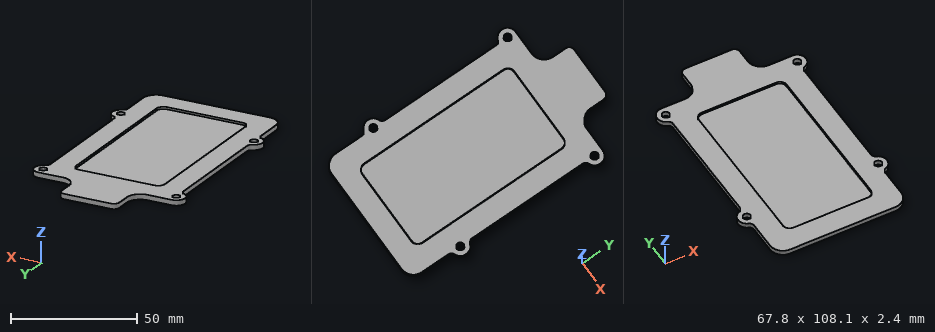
import cadquery as cq

LENGTH = 108.1
THICKNESS = 2.4
BODY_WIDTH = 59.8
BODY_CORNER_RADIUS = 5.9
BOTTOM_Y = -LENGTH / 2
TOP_Y = LENGTH / 2

LUG_RADIUS = 4.0
LUG_FILLET = 2.0
HOLE_DIAMETER = 3.2
HOLE_PITCH_Y = 65.0
UPPER_HOLE_Y = 35.3
LOWER_HOLE_Y = UPPER_HOLE_Y - HOLE_PITCH_Y
HOLE_POINTS = [(side * BODY_WIDTH / 2, y) for side in (-1, 1) for y in (LOWER_HOLE_Y, UPPER_HOLE_Y)]

SHOULDER_Y = UPPER_HOLE_Y + LUG_RADIUS

TAB_WIDTH = 26.0
TAB_CORNER_RADIUS = 2.5
TAB_ROOT_FILLET = 5.9

POCKET_BORDER = 9.9
POCKET_DEPTH = 1.0
POCKET_CORNER_RADIUS = 3.0


def box_between(width, y_low, y_high, z_low, z_high):
    """Box centred on X = 0, spanning the given Y and Z ranges."""
    return (
        cq.Workplane("XY", origin=(0, (y_low + y_high) / 2, z_low))
        .rect(width, y_high - y_low)
        .extrude(z_high - z_low)
    )


def upright_edges(plate, points):
    """Vertical edges of the plate standing at the given XY points."""
    tolerance = 0.01
    edges = plate.newObject([])
    for x, y in points:
        lower = (x - tolerance, y - tolerance, -THICKNESS)
        upper = (x + tolerance, y + tolerance, THICKNESS)
        found = plate.edges("|Z").edges(cq.selectors.BoxSelector(lower, upper))
        edges = edges.add(found)
    return edges


def mirrored(x, y):
    return [(-x, y), (x, y)]


def make_plate():
    z_low, z_high = -THICKNESS / 2, THICKNESS / 2
    body = box_between(BODY_WIDTH, BOTTOM_Y, SHOULDER_Y, z_low, z_high)
    tab = box_between(TAB_WIDTH, UPPER_HOLE_Y, TOP_Y, z_low, z_high)
    lugs = (
        cq.Workplane("XY", origin=(0, 0, z_low))
        .pushPoints(HOLE_POINTS)
        .circle(LUG_RADIUS)
        .extrude(THICKNESS)
    )
    return body.union(tab).union(lugs).clean()


def round_outline(plate):
    half_body = BODY_WIDTH / 2
    half_tab = TAB_WIDTH / 2
    lug_roots = []
    for y in (LOWER_HOLE_Y - LUG_RADIUS, LOWER_HOLE_Y + LUG_RADIUS, UPPER_HOLE_Y - LUG_RADIUS):
        lug_roots += mirrored(half_body, y)
    roundings = [
        (BODY_CORNER_RADIUS, mirrored(half_body, BOTTOM_Y)),
        (TAB_CORNER_RADIUS, mirrored(half_tab, TOP_Y)),
        (TAB_ROOT_FILLET, mirrored(half_tab, SHOULDER_Y)),
        (LUG_FILLET, lug_roots),
    ]
    for radius, points in roundings:
        plate = upright_edges(plate, points).fillet(radius)
    return plate


def make_pocket():
    return box_between(
        BODY_WIDTH - 2 * POCKET_BORDER,
        BOTTOM_Y + POCKET_BORDER,
        SHOULDER_Y - POCKET_BORDER,
        THICKNESS / 2 - POCKET_DEPTH,
        THICKNESS / 2,
    ).edges("|Z").fillet(POCKET_CORNER_RADIUS)


def make_holes():
    return (
        cq.Workplane("XY", origin=(0, 0, -THICKNESS / 2))
        .pushPoints(HOLE_POINTS)
        .circle(HOLE_DIAMETER / 2)
        .extrude(THICKNESS)
    )


result = round_outline(make_plate()).cut(make_pocket()).cut(make_holes())